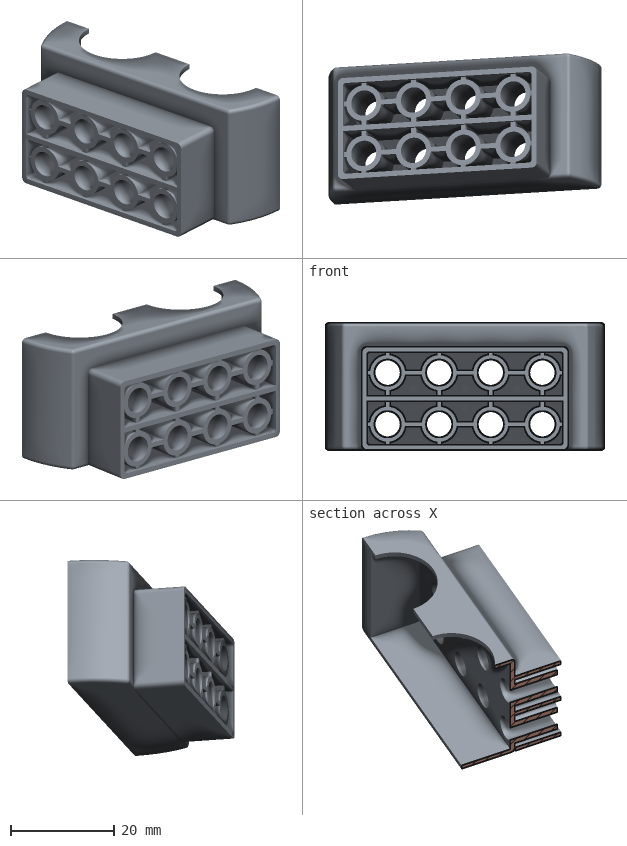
import cadquery as cq
import math

shell_width = 54.0
shell_height = 24.7
shell_depth = 11.5
total_depth = 21.5
wall = 1.0

end_radius = 21.35
cavity_width = 46.0
edge_radius = 0.75
notch_radius = 8.35
notch_offset = 12.65

pitch = 10.0
columns = 4
rows = 2
block_width = columns * pitch
block_height = 20.05
block_corner_radius = 1.0
pocket_corner_radius = 0.65
tube_diameter = 7.1
bore_diameter = 5.0
rib_thickness = 0.95
tube_recess = 0.8

back_y = total_depth / 2
shell_front_y = back_y - shell_depth
block_front_y = -total_depth / 2
block_depth = shell_front_y - block_front_y
block_center_z = block_height / 2
tube_front_y = block_front_y + tube_recess
tube_length = shell_front_y - tube_front_y


def bowed_prism():
    """Solid whose ends are arcs that leave the back face squarely and close in towards the front."""
    back_half = shell_width / 2
    arc_center_x = back_half - end_radius

    def half_width(y):
        return arc_center_x + math.sqrt(end_radius**2 - (back_y - y) ** 2)

    middle_y = (back_y + shell_front_y) / 2
    front_half = half_width(shell_front_y)
    middle_half = half_width(middle_y)
    return (
        cq.Workplane("XY")
        .moveTo(-back_half, back_y)
        .threePointArc((-middle_half, middle_y), (-front_half, shell_front_y))
        .lineTo(front_half, shell_front_y)
        .threePointArc((middle_half, middle_y), (back_half, back_y))
        .close()
        .extrude(shell_height)
    )


def make_shell():
    """Shell with bowed ends around a straight-sided cavity that is open at the back."""
    outer = bowed_prism().edges("not >Y").fillet(edge_radius)
    cavity_front_y = shell_front_y + wall
    cavity = cq.Workplane("XY", origin=(0, cavity_front_y, wall)).box(
        cavity_width, back_y - cavity_front_y, shell_height - 2 * wall, centered=(True, False, False)
    )
    notches = (
        cq.Workplane("XY", origin=(0, back_y, shell_height - wall))
        .pushPoints([(-notch_offset, 0), (notch_offset, 0)])
        .circle(notch_radius)
        .extrude(wall)
    )
    return outer.cut(cavity).cut(notches)


def block_prism(width, height, corner_radius):
    """Rounded box running from the block's front to the shell's front face."""
    return (
        cq.Workplane("XY")
        .box(width, block_depth, height)
        .edges("|Y")
        .fillet(corner_radius)
        .translate((0, block_front_y + block_depth / 2, block_center_z))
    )


def inner_plate(width, height, x, z, front_y):
    """Upright plate centred on (x, z), running back to the shell from the given front."""
    return (
        cq.Workplane("XZ", origin=(0, front_y, 0))
        .center(x, z)
        .rect(width, height)
        .extrude(front_y - shell_front_y)
    )


column_xs = [(i - (columns - 1) / 2) * pitch for i in range(columns)]
row_zs = [block_center_z + (j - (rows - 1) / 2) * pitch for j in range(rows)]
tube_centers = [(x, z) for x in column_xs for z in row_zs]


def tube_cylinders(diameter, length):
    """Cylinders on every tube axis, running back from the front of the tubes."""
    return (
        cq.Workplane("XZ", origin=(0, tube_front_y, 0))
        .pushPoints(tube_centers)
        .circle(diameter / 2)
        .extrude(-length)
    )


def make_block():
    """Hollow block with a full-depth divider and slightly recessed ribs and tubes."""
    inner_width = block_width - 2 * wall
    inner_height = block_height - 2 * wall
    block = block_prism(block_width, block_height, block_corner_radius)
    block = block.cut(block_prism(inner_width, inner_height, pocket_corner_radius))
    block = block.union(inner_plate(inner_width, wall, 0, block_center_z, block_front_y))
    for z in row_zs:
        block = block.union(inner_plate(inner_width, rib_thickness, 0, z, tube_front_y))
    for x in column_xs:
        block = block.union(inner_plate(rib_thickness, inner_height, x, block_center_z, tube_front_y))
    return block.union(tube_cylinders(tube_diameter, tube_length))


bores = tube_cylinders(bore_diameter, tube_length + wall)
result = make_shell().union(make_block()).cut(bores)